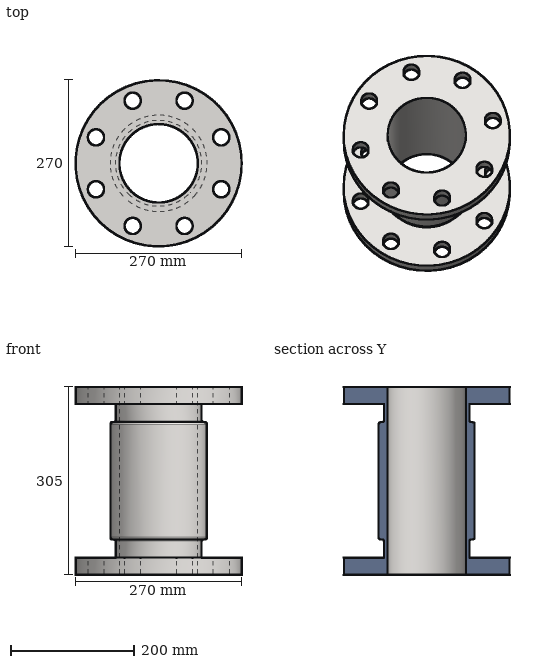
import cadquery as cq

total_length = 305.0
bore_diameter = 127.0

flange_diameter = 270.0
flange_thickness = 28.0
bolt_count = 8
bolt_circle_diameter = 220.0
bolt_hole_diameter = 26.0

pipe_diameter = 139.7
sleeve_diameter = 157.0
sleeve_length = 191.0
sleeve_edge_radius = 4.0
weld_radius = 2.5

half_length = total_length / 2
half_sleeve = sleeve_length / 2
pipe_radius = pipe_diameter / 2


def cylinder(diameter, length, base_z):
    """Solid cylinder on the Z axis, rising from base_z."""
    return cq.Workplane("XY").workplane(offset=base_z).circle(diameter / 2).extrude(length)


def make_flange(base_z):
    """Flat flange disc with its ring of bolt holes, none of them on the X or Y axis."""
    first_angle = 360 / bolt_count / 2
    bolt_holes = (
        cq.Workplane("XY")
        .workplane(offset=base_z)
        .polarArray(bolt_circle_diameter / 2, first_angle, 360, bolt_count)
        .circle(bolt_hole_diameter / 2)
        .extrude(flange_thickness)
    )
    return cylinder(flange_diameter, flange_thickness, base_z).cut(bolt_holes)


def make_sleeve():
    """Middle sleeve with rounded outer edges."""
    return cylinder(sleeve_diameter, sleeve_length, -half_sleeve).edges().fillet(sleeve_edge_radius)


def make_weld(side):
    """Small concave fillet bead between the pipe and one end of the sleeve (side is +1 or -1)."""
    sleeve_end = side * half_sleeve
    return (
        cq.Workplane("XZ")
        .moveTo(0, sleeve_end)
        .lineTo(pipe_radius + weld_radius, sleeve_end)
        .radiusArc((pipe_radius, sleeve_end + side * weld_radius), side * weld_radius)
        .lineTo(0, sleeve_end + side * weld_radius)
        .close()
        .revolve(360, (0, 0, 0), (0, 1, 0))
    )


body = cylinder(pipe_diameter, total_length, -half_length).union(make_sleeve())
for weld_side in (1, -1):
    body = body.union(make_weld(weld_side))
for flange_base in (-half_length, half_length - flange_thickness):
    body = body.union(make_flange(flange_base))

result = body.cut(cylinder(bore_diameter, total_length, -half_length))